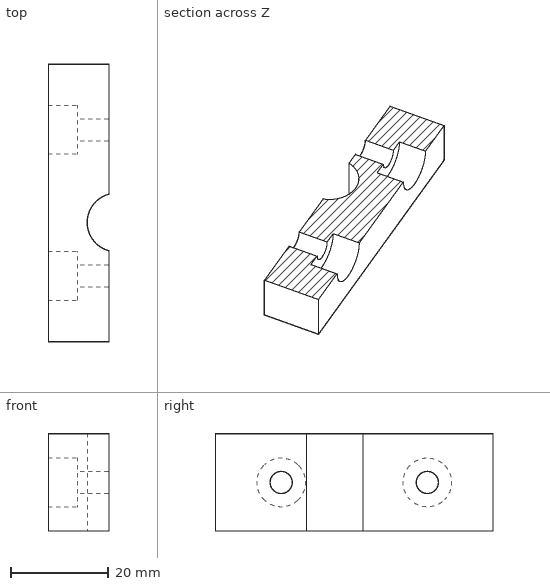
import cadquery as cq

thickness = 12.5
length = 57.0
height = 20.0

hole_end_distance = 13.5
hole_diameter = 4.5
counterbore_diameter = 10.0
counterbore_depth = 6.0

groove_radius = 6.0
groove_depth = 4.5
groove_end_distance = 24.5


def cylinder_along_x(diameter, depth, y):
    """Cylinder starting on the -X face at mid-height and reaching into the block."""
    start = cq.Vector(-thickness / 2, y, 0)
    return cq.Workplane(cq.Solid.makeCylinder(diameter / 2, depth, start, cq.Vector(1, 0, 0)))


def screw_hole(y):
    """Through hole with its counterbore."""
    through_hole = cylinder_along_x(hole_diameter, thickness, y)
    counterbore = cylinder_along_x(counterbore_diameter, counterbore_depth, y)
    return through_hole.union(counterbore)


def groove():
    """Full-height cylinder whose axis lies just outside the +X face."""
    x = thickness / 2 - groove_depth + groove_radius
    y = -length / 2 + groove_end_distance
    return cq.Workplane("XY").center(x, y).circle(groove_radius).extrude(height / 2, both=True)


result = cq.Workplane("XY").box(thickness, length, height)

hole_offset = length / 2 - hole_end_distance
for hole_y in (-hole_offset, hole_offset):
    result = result.cut(screw_hole(hole_y))

result = result.cut(groove())